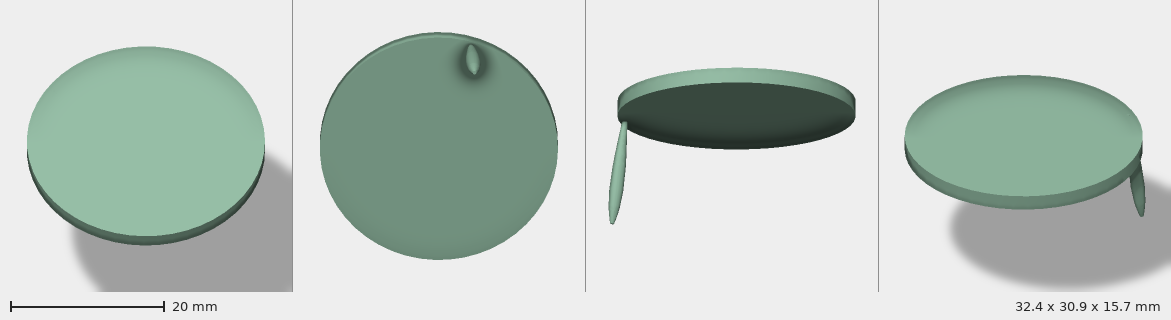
import cadquery as cq
import math

DISC_DIAMETER = 30.93
DISC_THICKNESS = 2.0

OVERALL_HEIGHT = 15.74

SPINDLE_LEAN = 7.0
SPINDLE_TOP_X = -14.55
TOP_TIP_RADIUS = 0.2
NECK_RADIUS = 0.36
SHANK_RADIUS = 0.66
BELLY_RADIUS = 0.91
TAIL_RADIUS = 0.72
BOTTOM_TIP_RADIUS = 0.25

NECK_DEPTH = DISC_THICKNESS
SHANK_DEPTH = 5.3
BELLY_DEPTH = 9.3
TAIL_DEPTH = 13.6

lean_angle = math.radians(SPINDLE_LEAN)

tip_rise = TOP_TIP_RADIUS * math.tan(lean_angle)

top_edge_offset = TOP_TIP_RADIUS * math.sin(lean_angle)
bottom_edge_offset = BOTTOM_TIP_RADIUS * math.sin(lean_angle)

spindle_length = (OVERALL_HEIGHT - top_edge_offset - bottom_edge_offset) / math.cos(lean_angle)
bottom_depth = spindle_length - tip_rise


def make_disc():
    return cq.Workplane("XY").circle(DISC_DIAMETER / 2).extrude(DISC_THICKNESS)


def make_spindle():
    """Revolve the swelling profile about Z, then lean it and set it in the disc."""
    side = [
        (NECK_RADIUS, -NECK_DEPTH),
        (SHANK_RADIUS, -SHANK_DEPTH),
        (BELLY_RADIUS, -BELLY_DEPTH),
        (TAIL_RADIUS, -TAIL_DEPTH),
        (BOTTOM_TIP_RADIUS, -bottom_depth),
    ]
    upright = (
        cq.Workplane("XZ")
        .moveTo(0, tip_rise)
        .lineTo(TOP_TIP_RADIUS, tip_rise)
        .spline(side, includeCurrent=True)
        .lineTo(0, -bottom_depth)
        .close()
        .revolve(360, (0, 0, 0), (0, 1, 0))
    )
    leaning = upright.rotate((0, 0, 0), (0, 1, 0), SPINDLE_LEAN)
    return leaning.translate((SPINDLE_TOP_X, 0, DISC_THICKNESS))


result = make_disc().union(make_spindle())